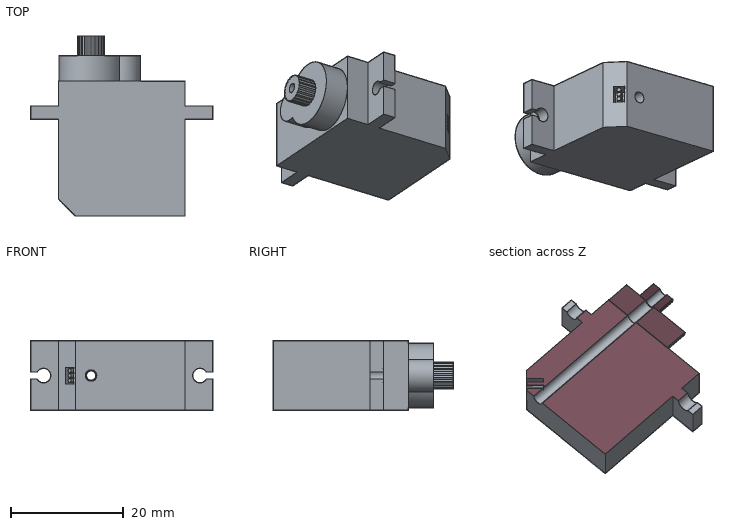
import cadquery as cq
import math


total_width = 32.4
height = 12.4
body_width = 22.5
body_length = 24.0
corner_chamfer = 3.0

ear_thickness = 2.4
ear_setback = 4.4
ear_hole_diameter = 2.53
ear_hole_inset = 2.3
ear_slot_width = 1.2

socket_width = 2.0
socket_height = 2.95
socket_depth = 3.0
socket_offset = 0.68
pin_diameter = 0.75
pin_pitch = 0.87
pin_count = 3

gearbox_length = 4.5
gearbox_diameter = 11.5
idler_diameter = 5.8
idler_offset = 5.9
shaft_axis_inset = 5.8
axial_hole_diameter = 2.0
shaft_length = 3.5
shaft_crest_diameter = 4.85
shaft_root_diameter = 4.6
shaft_bore_diameter = 1.65
tooth_count = 21

body_left = -body_width / 2
shaft_x = body_left + shaft_axis_inset
gearbox_end = body_length + gearbox_length
ear_back = body_length - ear_setback - ear_thickness


def cylinder_along_y(diameter, start_y, length, center_x):
    """Cylinder parallel to Y, centred on Z = 0."""
    plane = cq.Plane(origin=(center_x, start_y, 0), xDir=(1, 0, 0), normal=(0, 1, 0))
    return cq.Workplane(plane).circle(diameter / 2).extrude(length)


def block_between(width, start_y, length, block_height, center_x=0):
    """Box running along +Y from start_y, centred on Z = 0."""
    block = cq.Workplane("XY").box(width, length, block_height, centered=(True, False, True))
    return block.translate((center_x, start_y, 0))


def make_ear_opening(side):
    """Screw hole with a slot leading out to the end of the ear."""
    end_x = side * total_width / 2
    hole_x = end_x - side * ear_hole_inset
    hole = cylinder_along_y(ear_hole_diameter, ear_back, ear_thickness, hole_x)
    slot = block_between(ear_hole_inset, ear_back, ear_thickness, ear_slot_width, (end_x + hole_x) / 2)
    return hole.union(slot)


def make_socket_plane():
    """Plane on the chamfered corner: local X runs along the chamfer and the normal points inward."""
    along_axes = socket_offset / math.sqrt(2)
    center_x = body_left + corner_chamfer / 2 + along_axes
    center_y = corner_chamfer / 2 - along_axes
    return cq.Plane(origin=(center_x, center_y, 0), xDir=(1, -1, 0), normal=(1, 1, 0))


def make_housing():
    """Case with ears, axial hole, and a socket whose pins rise from its floor."""
    body = block_between(body_width, 0, body_length, height)
    body = body.edges("|Z and <X and <Y").chamfer(corner_chamfer)
    housing = body.union(block_between(total_width, ear_back, ear_thickness, height))
    for side in (-1, 1):
        housing = housing.cut(make_ear_opening(side))
    housing = housing.cut(cylinder_along_y(axial_hole_diameter, 0, body_length, shaft_x))

    socket_plane = make_socket_plane()
    socket = cq.Workplane(socket_plane).rect(socket_width, socket_height).extrude(socket_depth)
    pins = (
        cq.Workplane(socket_plane)
        .rarray(0.32, pin_pitch, 1, pin_count)
        .circle(pin_diameter / 2)
        .extrude(socket_depth)
    )
    return housing.cut(socket).union(pins)


def make_gearbox():
    """Round output boss joined to a smaller idler boss on its +X side."""
    idler_x = shaft_x + idler_offset
    output_boss = cylinder_along_y(gearbox_diameter, body_length, gearbox_length, shaft_x)
    idler_boss = cylinder_along_y(idler_diameter, body_length, gearbox_length, idler_x)
    axial_hole = cylinder_along_y(axial_hole_diameter, body_length, gearbox_length, shaft_x)
    return output_boss.union(idler_boss).cut(axial_hole)


def make_shaft():
    """Bored shaft with V-shaped teeth, one crest pointing to -X."""
    half_pitch = math.pi / tooth_count
    profile = []
    for index in range(2 * tooth_count):
        angle = math.pi + index * half_pitch
        diameter = shaft_crest_diameter if index % 2 == 0 else shaft_root_diameter
        profile.append((diameter / 2 * math.cos(angle), diameter / 2 * math.sin(angle)))
    plane = cq.Plane(origin=(shaft_x, gearbox_end, 0), xDir=(1, 0, 0), normal=(0, 1, 0))
    toothed = cq.Workplane(plane).polyline(profile).close().extrude(shaft_length)
    return toothed.cut(cylinder_along_y(shaft_bore_diameter, gearbox_end, shaft_length, shaft_x))


housing = make_housing()
gearbox = make_gearbox()
shaft = make_shaft()

result = cq.Compound.makeCompound([housing.solids().val(), gearbox.solids().val(), shaft.solids().val()])